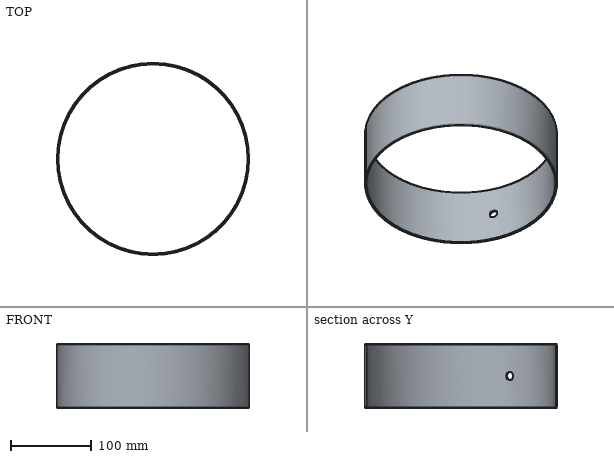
import cadquery as cq

outer_diameter = 240.0
height = 80.0
wall = 2.5
outer_bevel_height = 2.0
outer_bevel_depth = 0.5
inner_bevel_height = 1.0
inner_bevel_depth = 0.7
seam_gap = 2.0
hole_diameter = 10.0
hole_angle = 59.0
hole_height = height / 2

outer_radius = outer_diameter / 2
inner_radius = outer_radius - wall


def make_ring():
    """Thin band with each rim beveled outside and, less tall, inside."""
    profile = [
        (inner_radius, inner_bevel_height),
        (inner_radius + inner_bevel_depth, 0),
        (outer_radius - outer_bevel_depth, 0),
        (outer_radius, outer_bevel_height),
        (outer_radius, height - outer_bevel_height),
        (outer_radius - outer_bevel_depth, height),
        (inner_radius + inner_bevel_depth, height),
        (inner_radius, height - inner_bevel_height),
    ]
    return cq.Workplane("XZ").polyline(profile).close().revolve(360, (0, 0, 0), (0, 1, 0))


def make_seam():
    """Slit through the wall on the -X side, with one face on the plane Y = 0."""
    return cq.Workplane("XY").box(
        outer_diameter, seam_gap, height, centered=False
    ).translate((-outer_diameter, 0, 0))


def make_hole():
    """Radial cylinder through one side of the wall."""
    return (
        cq.Workplane("YZ")
        .center(0, hole_height)
        .circle(hole_diameter / 2)
        .extrude(outer_diameter)
        .rotate((0, 0, 0), (0, 0, 1), hole_angle)
    )


result = make_ring().cut(make_seam()).cut(make_hole())